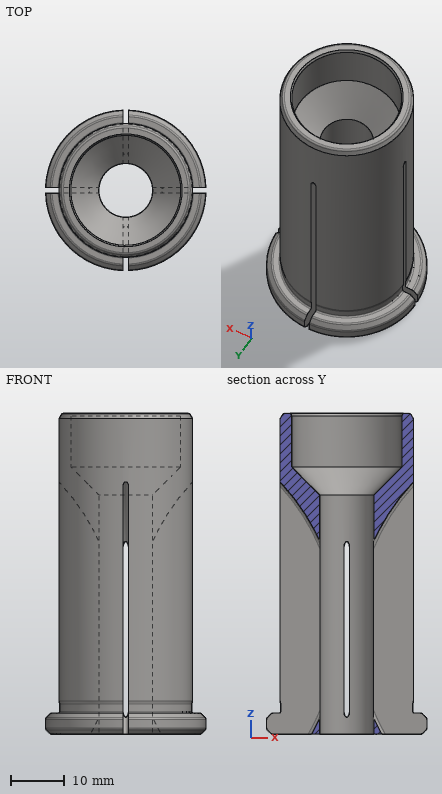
import cadquery as cq
import math

length = 60.0
body_radius = 25.0 / 2

top_chamfer_height = 1.0
mouth_chamfer_height = 0.5
rim_chamfer_angle = 30.0
top_edge_radius = 0.5

flange_radius = 15.0
flange_height = 4.0
flange_chamfer = 1.0
flange_edge_radius = 0.5

relief_depth = 0.15
relief_top = 6.3
relief_angle = 15.0
relief_fillet = 0.3

bore_radius = 10.0 / 2
counterbore_radius = 20.5 / 2
counterbore_depth = 10.0
cone_half_angle = 45.0

slot_count = 4
slot_width = 1.0
disc_radius = 40.0
disc_height = 19.6
slot_floor_radius = 1.5


def make_flange():
    flange = cq.Workplane("XY").circle(flange_radius).extrude(flange_height)
    flange = flange.faces("<Z or >Z").chamfer(flange_chamfer)
    return flange.faces("%CONE").edges().fillet(flange_edge_radius)


def make_body():
    neck_radius = body_radius - relief_depth
    taper_height = relief_depth / math.tan(math.radians(relief_angle))
    fillet_outer = neck_radius + relief_fillet
    fillet_top = flange_height + relief_fillet
    fillet_reach = relief_fillet * math.sqrt(0.5)
    top_inset = top_chamfer_height * math.tan(math.radians(rim_chamfer_angle))
    profile = (
        cq.Workplane("XZ")
        .lineTo(fillet_outer, 0)
        .lineTo(fillet_outer, flange_height)
        .threePointArc(
            (fillet_outer - fillet_reach, fillet_top - fillet_reach),
            (neck_radius, fillet_top),
        )
        .lineTo(neck_radius, relief_top - taper_height)
        .lineTo(body_radius, relief_top)
        .lineTo(body_radius, length - top_chamfer_height)
        .lineTo(body_radius - top_inset, length)
        .lineTo(0, length)
        .close()
    )
    body = profile.revolve(360, (0, 0, 0), (0, 1, 0))
    return body.faces(">Z").edges().fillet(top_edge_radius)


def make_bore():
    cone_top = length - counterbore_depth
    cone_height = (counterbore_radius - bore_radius) / math.tan(math.radians(cone_half_angle))
    mouth_inset = mouth_chamfer_height * math.tan(math.radians(rim_chamfer_angle))
    profile = (
        cq.Workplane("XZ")
        .lineTo(bore_radius, 0)
        .lineTo(bore_radius, cone_top - cone_height)
        .lineTo(counterbore_radius, cone_top)
        .lineTo(counterbore_radius, length - mouth_chamfer_height)
        .lineTo(counterbore_radius + mouth_inset, length)
        .lineTo(0, length)
        .close()
    )
    return profile.revolve(360, (0, 0, 0), (0, 1, 0))


def make_slot_disc():
    disc_center = slot_floor_radius + disc_radius
    half_width = slot_width / 2
    rim_start = disc_radius - half_width
    profile = (
        cq.Workplane("XY")
        .moveTo(0, -half_width)
        .lineTo(rim_start, -half_width)
        .threePointArc((disc_radius, 0), (rim_start, half_width))
        .lineTo(0, half_width)
        .close()
    )
    disc = profile.revolve(360, (0, 0, 0), (0, 1, 0))
    return disc.translate((disc_center, 0, disc_height))


result = make_flange().union(make_body()).cut(make_bore())
for index in range(slot_count):
    angle = index * 360 / slot_count
    result = result.cut(make_slot_disc().rotate((0, 0, 0), (0, 0, 1), angle))